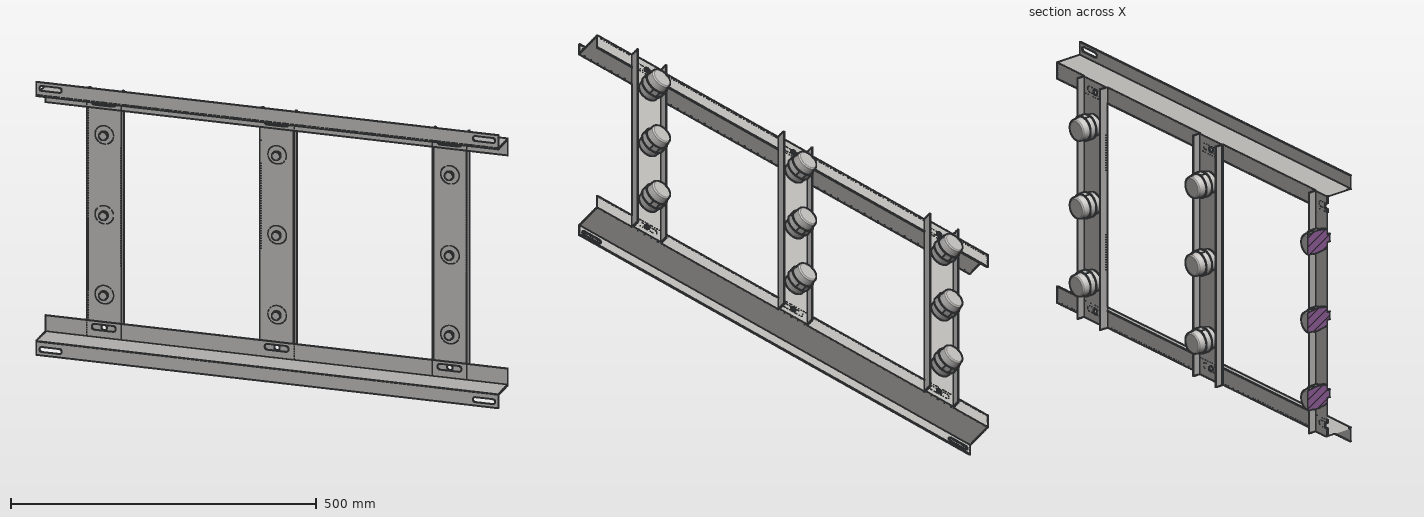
import cadquery as cq
import math

frame_length = 796.0
frame_depth = 92.0
frame_height = 476.0
sheet = 2.0

rail_depth = 50.0
front_flange_height = 25.0
rear_flange_height = 29.5

end_slot_length = 38.0
end_slot_height = 9.0
end_slot_from_end = 25.0
end_slot_from_edge = 10.0

joint_slot_length = 41.0
joint_slot_height = 10.0
joint_slot_from_edge = 10.0
joint_hole_diameter = 9.5

upright_width = 60.0
upright_leg = 15.0
upright_spacing = 298.0

buffer_spacing = 139.0
buffer_end_diameter = 36.0
buffer_waist_diameter = 40.0
buffer_end_round = 2.0
band_diameter = 43.0
band_width = 12.0
band_flat_width = 13.0
stud_diameter = 14.0
stud_length = 5.5

web_outer_z = frame_height / 2 - front_flange_height + sheet
rear_flange_edge_z = web_outer_z - rear_flange_height
joint_z = rear_flange_edge_z + joint_slot_from_edge
upright_front_y = rail_depth
buffer_base_y = upright_front_y + sheet
buffer_length = frame_depth - buffer_base_y
upright_places = [i * upright_spacing for i in (-1, 0, 1)]
buffer_heights = [i * buffer_spacing for i in (-1, 0, 1)]


def slot_cutter(length, height, x, z, y_start, depth):
    """Round-ended slot along X, cut in the +Y direction."""
    return (
        cq.Workplane("XZ", origin=(x, y_start, z))
        .slot2D(length, height)
        .extrude(-depth)
    )


def make_top_rail():
    half_height = frame_height / 2
    profile = [
        (0, half_height),
        (0, web_outer_z - sheet),
        (rail_depth - sheet, web_outer_z - sheet),
        (rail_depth - sheet, rear_flange_edge_z),
        (rail_depth, rear_flange_edge_z),
        (rail_depth, web_outer_z),
        (sheet, web_outer_z),
        (sheet, half_height),
    ]
    rail = (
        cq.Workplane("YZ", origin=(-frame_length / 2, 0, 0))
        .polyline(profile)
        .close()
        .extrude(frame_length)
    )
    end_slot_x = frame_length / 2 - end_slot_from_end
    end_slot_z = half_height - end_slot_from_edge
    for x in (-end_slot_x, end_slot_x):
        rail = rail.cut(slot_cutter(end_slot_length, end_slot_height, x, end_slot_z, 0, sheet))
    for x in upright_places:
        rail = rail.cut(
            slot_cutter(joint_slot_length, joint_slot_height, x, joint_z, rail_depth - sheet, sheet)
        )
    return rail


def make_upright():
    """U-channel standing at X = 0 with its legs pointing to +Y."""
    length = 2 * web_outer_z
    channel = cq.Workplane("XY").box(upright_width, upright_leg, length, centered=(True, False, True))
    hollow = (
        cq.Workplane("XY", origin=(0, sheet, 0))
        .box(upright_width - 2 * sheet, upright_leg, length, centered=(True, False, True))
    )
    holes = (
        cq.Workplane("XZ")
        .pushPoints([(0, joint_z), (0, -joint_z)])
        .circle(joint_hole_diameter / 2)
        .extrude(-sheet)
    )
    return channel.cut(hollow).cut(holes).translate((0, upright_front_y, 0))


def make_buffer():
    """Barrel along Y at X = Z = 0, with a raised band, flat above and below, and a front stud."""
    end_radius = buffer_end_diameter / 2
    middle_y = buffer_base_y + buffer_length / 2
    barrel = (
        cq.Workplane("XY")
        .moveTo(0, buffer_base_y)
        .lineTo(end_radius, buffer_base_y)
        .threePointArc((buffer_waist_diameter / 2, middle_y), (end_radius, frame_depth))
        .lineTo(0, frame_depth)
        .close()
        .revolve(360, (0, 0, 0), (0, 1, 0))
        .faces("%PLANE")
        .edges()
        .fillet(buffer_end_round)
    )
    band_start_y = middle_y - band_width / 2
    flat_to_flat = math.sqrt(band_diameter**2 - band_flat_width**2)
    band = (
        cq.Workplane("XZ", origin=(0, band_start_y, 0))
        .circle(band_diameter / 2)
        .extrude(-band_width)
    )
    between_flats = (
        cq.Workplane("XZ", origin=(0, band_start_y, 0))
        .rect(band_diameter, flat_to_flat)
        .extrude(-band_width)
    )
    stud = (
        cq.Workplane("XZ", origin=(0, upright_front_y - stud_length, 0))
        .circle(stud_diameter / 2)
        .extrude(-(stud_length + sheet))
    )
    return barrel.union(band.intersect(between_flats)).union(stud)


top_rail = make_top_rail()
bottom_rail = top_rail.mirror("XY")
upright = make_upright()
buffer = make_buffer()

result = top_rail.union(bottom_rail)
for x in upright_places:
    result = result.union(upright.translate((x, 0, 0)))
    for z in buffer_heights:
        result = result.union(buffer.translate((x, 0, z)))